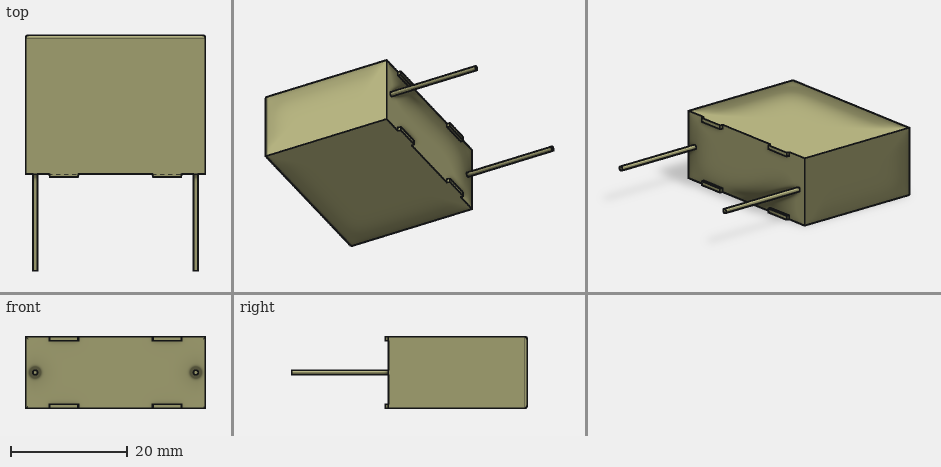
import cadquery as cq


CASE_WIDTH = 30.8
CASE_HEIGHT = 12.3
CASE_DEPTH = 23.78
BACK_EDGE_RADIUS = 0.5

FOOT_BASE_WIDTH = 5.05
FOOT_TIP_WIDTH = 4.8
FOOT_LENGTH = 0.52
FOOT_THICKNESS = 0.73
FOOT_SPACING = 17.65

TOTAL_LENGTH = 40.3
LEAD_DIAMETER = 0.8
LEAD_PITCH = 27.5
LEAD_LENGTH = TOTAL_LENGTH - CASE_DEPTH


def make_foot(x_center, z_bottom):
    """Foot with sloping ends, narrowing away from the lead face."""
    outline = [
        (x_center - FOOT_BASE_WIDTH / 2, 0),
        (x_center - FOOT_TIP_WIDTH / 2, -FOOT_LENGTH),
        (x_center + FOOT_TIP_WIDTH / 2, -FOOT_LENGTH),
        (x_center + FOOT_BASE_WIDTH / 2, 0),
    ]
    return cq.Workplane("XY", origin=(0, 0, z_bottom)).polyline(outline).close().extrude(FOOT_THICKNESS)


def make_case():
    """Solid block with a rounded back rim and a foot pair along each long edge of the lead face."""
    block = cq.Workplane("XY").box(CASE_WIDTH, CASE_DEPTH, CASE_HEIGHT, centered=(True, False, True))
    block = block.faces(">Y").edges().fillet(BACK_EDGE_RADIUS)
    for x_center in (-FOOT_SPACING / 2, FOOT_SPACING / 2):
        for z_bottom in (-CASE_HEIGHT / 2, CASE_HEIGHT / 2 - FOOT_THICKNESS):
            block = block.union(make_foot(x_center, z_bottom))
    return block


def make_lead(x_center):
    """Straight round wire that starts on the lead face and runs toward -Y."""
    return cq.Workplane("XZ", origin=(x_center, 0, 0)).circle(LEAD_DIAMETER / 2).extrude(LEAD_LENGTH)


case = make_case()
leads = [make_lead(x_center) for x_center in (-LEAD_PITCH / 2, LEAD_PITCH / 2)]

result = cq.Compound.makeCompound([case.val(), *[lead.val() for lead in leads]])